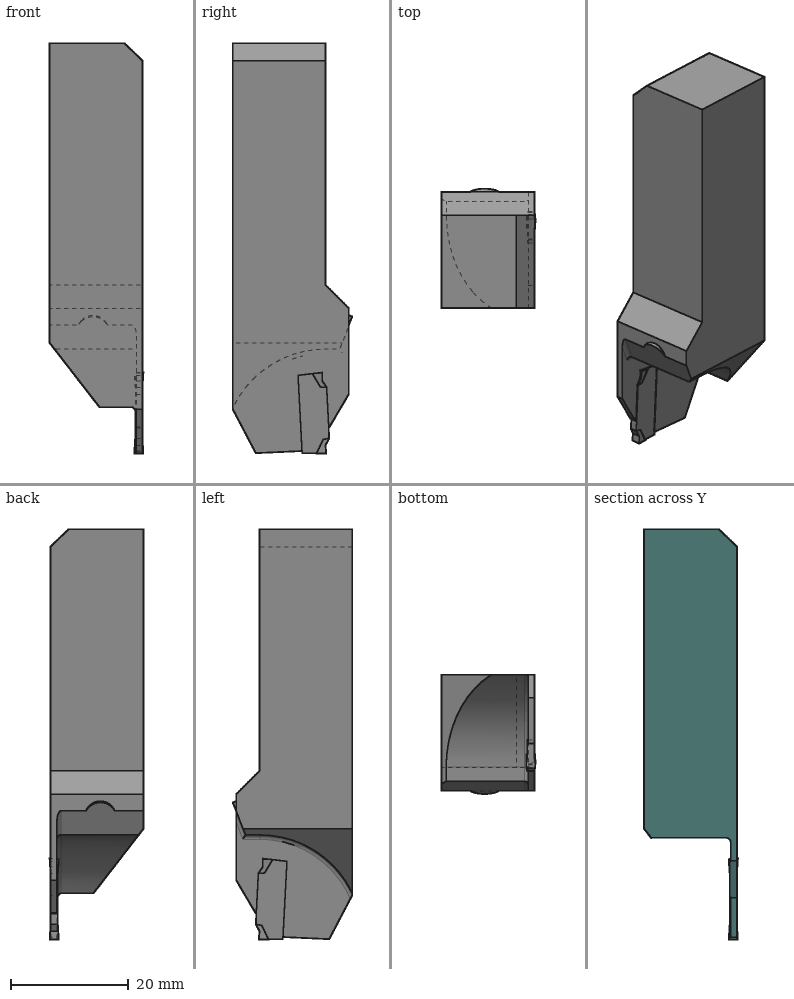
import cadquery as cq
import math

HEIGHT = 69.85
WIDTH = 15.85
SHANK_DEPTH = 15.8
HEAD_DEPTH = 19.8
STEP_TOP_Z = 28.7
STEP_BOTTOM_Z = STEP_TOP_Z - (HEAD_DEPTH - SHANK_DEPTH)
TOP_CHAMFER_X = 3.15
TOP_CHAMFER_Z = 3.0

BLADE_THICKNESS = 1.1
BLADE_FACE_X = WIDTH - BLADE_THICKNESS
RELIEF_TOP_Z = 17.8
RELIEF_ARC_Y = 15.7
RELIEF_ARC_RADIUS = 17.4
RELIEF_FILLET = 0.7
SLOPE_TOP_Z = 18.85
SLOPE_END_X = 8.5

BLADE_FRONT_Z = 7.55
BLADE_TOE = (3.9, 0.1)
BLADE_HEEL = (11.65, 0.4)
JAW_TIP = (16.5, 4.55)
BLADE_BACK_Z = 10.1

SEAT_CORNER = (18.15, RELIEF_TOP_Z)
SEAT_ANGLE = 21.5
SEAT_LENGTH = 5.95
SCREW_HEAD_RADIUS = 2.7
SCREW_HEAD_HEIGHT = 3.0
SCREW_X = 7.3

INSERT_TILT = 3.0
INSERT_Y = 13.8
INSERT_HALF_DEPTH = 2.4
INSERT_BODY_WIDTH = 1.25
CUTTING_EDGE_WIDTH = 1.6
EDGE_OVERHANG = 0.15
CUTTING_EDGE = (1.75, 6.9)
INSERT_FOOT_Z = 6.65
BREAKER_START_Z = 4.3
BREAKER_FLOOR = (1.7, 5.5)
FLANK_CORNER = (1.3, 4.5)
FLANK_END_Y = 0.0
EDGE_LEAD = 0.105

MARGIN = 3.5
OVERSHOOT = 0.7


def relief_arc_point(y):
    """Point of the relief arc at depth y."""
    centre_z = RELIEF_TOP_Z - RELIEF_ARC_RADIUS
    return y, centre_z + math.sqrt(RELIEF_ARC_RADIUS ** 2 - (RELIEF_ARC_Y - y) ** 2)


def along_seat(distance):
    """Point of the seat at a distance up from its lower corner."""
    angle = math.radians(SEAT_ANGLE)
    return SEAT_CORNER[0] + distance * math.sin(angle), SEAT_CORNER[1] + distance * math.cos(angle)


def holder_outline():
    """Holder seen along X, blade included, as a prism over the full width."""
    points = [
        (0, HEIGHT),
        (SHANK_DEPTH, HEIGHT),
        (SHANK_DEPTH, STEP_TOP_Z),
        (HEAD_DEPTH, STEP_BOTTOM_Z),
        (HEAD_DEPTH, BLADE_BACK_Z),
        JAW_TIP,
        BLADE_HEEL,
        BLADE_TOE,
        (0, BLADE_FRONT_Z),
    ]
    return cq.Workplane("YZ").polyline(points).close().extrude(WIDTH)


def blade_relief():
    """Material beside the blade, its top edge rounded towards the blade face."""
    outline = (
        cq.Workplane("YZ")
        .moveTo(*along_seat(2 * SEAT_LENGTH))
        .lineTo(*SEAT_CORNER)
        .lineTo(RELIEF_ARC_Y, RELIEF_TOP_Z)
        .threePointArc(relief_arc_point(RELIEF_ARC_Y / 2), relief_arc_point(-OVERSHOOT))
        .lineTo(-OVERSHOOT, -MARGIN)
        .lineTo(HEAD_DEPTH + MARGIN, -MARGIN)
        .lineTo(HEAD_DEPTH + MARGIN, along_seat(2 * SEAT_LENGTH)[1])
        .close()
    )
    relief = outline.extrude(BLADE_FACE_X + MARGIN).translate((-MARGIN, 0, 0))
    blade_side = relief.faces(">X")
    wall_edges = cq.selectors.BoxSelector((0, 0, BLADE_FRONT_Z), (WIDTH, HEAD_DEPTH + MARGIN / 2, HEIGHT))
    return blade_side.edges(wall_edges).fillet(RELIEF_FILLET)


def underside_slope():
    """Wedge below the sloped underside, from the -X face to the foot of the arc."""
    foot_z = relief_arc_point(0)[1]
    points = [(0, SLOPE_TOP_Z), (SLOPE_END_X, foot_z), (SLOPE_END_X, -MARGIN), (0, -MARGIN)]
    return cq.Workplane("XZ").polyline(points).close().extrude(-HEAD_DEPTH - MARGIN)


def top_chamfer():
    points = [(WIDTH - TOP_CHAMFER_X, HEIGHT), (WIDTH, HEIGHT), (WIDTH, HEIGHT - TOP_CHAMFER_Z)]
    return cq.Workplane("XZ").polyline(points).close().extrude(-SHANK_DEPTH)


def screw_head():
    angle = math.radians(SEAT_ANGLE)
    centre = along_seat(SEAT_LENGTH - SCREW_HEAD_RADIUS)
    inward = cq.Vector(0, -math.cos(angle), math.sin(angle))
    return cq.Workplane(
        cq.Solid.makeCylinder(SCREW_HEAD_RADIUS, SCREW_HEAD_HEIGHT, cq.Vector(SCREW_X, *centre), inward)
    )


def place_insert(shape):
    """Move a shape from the insert's own axes to its seat in the holder."""
    tilt = math.radians(INSERT_TILT)
    edge_y, edge_z = CUTTING_EDGE
    centre_x = WIDTH + EDGE_OVERHANG - CUTTING_EDGE_WIDTH / 2
    centre_z = edge_z * math.cos(tilt) - edge_y * math.sin(tilt)
    return shape.rotate((0, 0, 0), (1, 0, 0), INSERT_TILT).translate((centre_x, INSERT_Y, centre_z))


def insert_prism(width):
    """Insert seen along X, with a cutting edge and chip breaker at both ends."""
    upper = [
        (-INSERT_HALF_DEPTH, INSERT_FOOT_Z),
        CUTTING_EDGE,
        BREAKER_FLOOR,
        (INSERT_HALF_DEPTH, BREAKER_START_Z),
    ]
    lower = [(y, -z) for y, z in reversed(upper)]
    return cq.Workplane("YZ").polyline(upper + lower).close().extrude(width / 2, both=True)


def lower_cutting_head():
    """Lower end of the insert, widening towards its cutting edge."""
    points = [
        (INSERT_HALF_DEPTH, -BREAKER_START_Z),
        (FLANK_CORNER[0], -FLANK_CORNER[1]),
        (FLANK_END_Y, -CUTTING_EDGE[1]),
        (INSERT_HALF_DEPTH, -CUTTING_EDGE[1]),
    ]
    head = cq.Workplane("YZ").polyline(points).close().extrude(CUTTING_EDGE_WIDTH, both=True)
    half_neck = INSERT_BODY_WIDTH / 2
    half_edge = CUTTING_EDGE_WIDTH / 2
    taper = [
        (-half_neck, -BREAKER_START_Z),
        (half_neck, -BREAKER_START_Z),
        (half_edge, -CUTTING_EDGE[1]),
        (-half_edge, -CUTTING_EDGE[1]),
    ]
    flanks = cq.Workplane("XZ").polyline(taper).close().extrude(2 * INSERT_HALF_DEPTH, both=True)
    return head.intersect(flanks).intersect(insert_prism(2 * CUTTING_EDGE_WIDTH))


def lower_lead_cut():
    """Wedge that leaves the lower end longest on the -X side."""
    half_edge = CUTTING_EDGE_WIDTH / 2
    points = [
        (-half_edge, -CUTTING_EDGE[1]),
        (half_edge, EDGE_LEAD - CUTTING_EDGE[1]),
        (half_edge, -CUTTING_EDGE[1]),
    ]
    return cq.Workplane("XZ").polyline(points).close().extrude(2 * INSERT_HALF_DEPTH, both=True)


def make_insert():
    insert = insert_prism(INSERT_BODY_WIDTH)
    for turn in (0, 180):
        insert = insert.union(lower_cutting_head().rotate((0, 0, 0), (0, 1, 0), turn))
        insert = insert.cut(lower_lead_cut().rotate((0, 0, 0), (0, 1, 0), turn))
    return place_insert(insert)


def make_holder():
    body = holder_outline().cut(blade_relief()).cut(underside_slope()).cut(top_chamfer())
    pocket = place_insert(insert_prism(2 * CUTTING_EDGE_WIDTH))
    return body.union(screw_head()).cut(pocket)


holder = make_holder()
insert = make_insert()

result = cq.Compound.makeCompound([holder.solids().val(), insert.solids().val()])